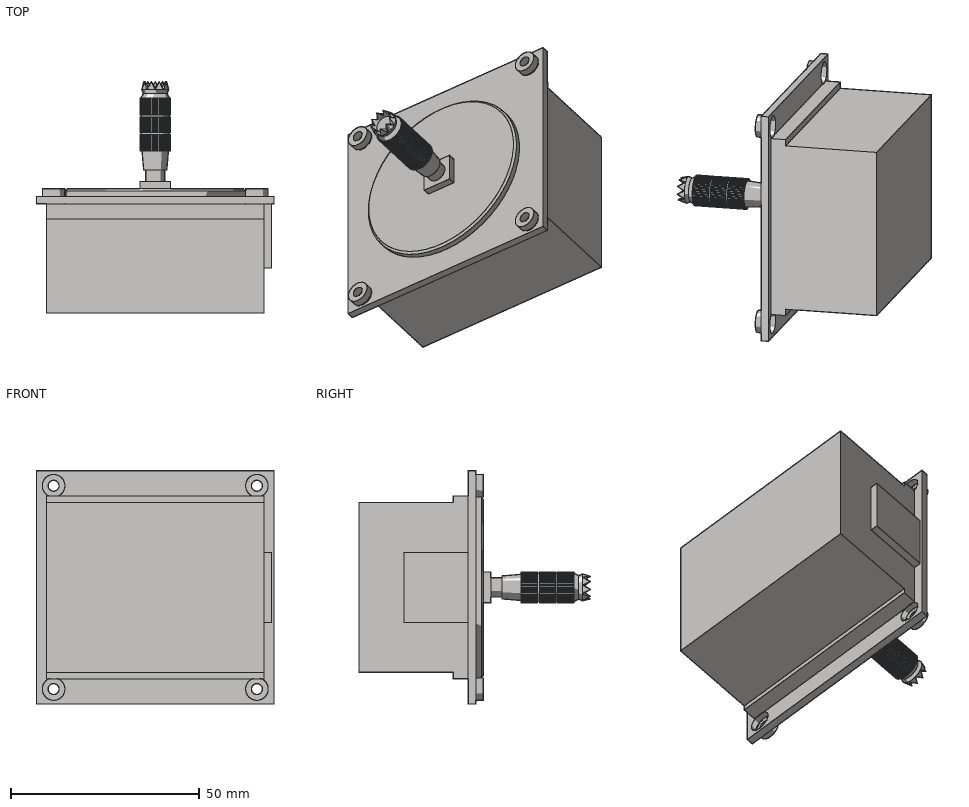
import cadquery as cq
import math


PLATE_WIDTH = 63.1
PLATE_HEIGHT = 62.0
PLATE_THICKNESS = 2.0

SCREW_OFFSET = 27.0
SCREW_HOLE_DIAMETER = 2.85
BOSS_DIAMETER = 6.0
BOSS_HEIGHT = 2.0
COUNTERBORE_DEPTH = 1.7

BOX_WIDTH = 57.8
BOX_HEIGHT = 45.1
BOX_DEPTH = 29.0
LIP_HEIGHT = 48.6
LIP_DEPTH = 4.05

COVER_RADIUS = 24.0
COVER_CHAMFER = 0.55

CONNECTOR_THICKNESS = 2.0
CONNECTOR_HEIGHT = 18.7
CONNECTOR_DEPTH = 17.05

FOOT_SIDE = 8.2
FOOT_HEIGHT = 1.95
SHAFT_RADIUS = 2.6
SHAFT_LENGTH = 2.95

COLLAR_LENGTH = 5.05
COLLAR_BOTTOM_RADIUS = 3.1
COLLAR_TOP_RADIUS = 3.55

GRIP_RADIUS = 4.1
KNURL_LENGTH = 14.1
SHOULDER_LENGTH = 1.25
NECK_RADIUS = 3.15
FLARE_LENGTH = 1.0
FLARE_RADIUS = 3.6
RING_GROOVE_COUNT = 2
RING_GROOVE_WIDTH = 0.5
RING_GROOVE_DEPTH = 0.3
FLUTE_COUNT = 40
FLUTE_WIDTH = 0.3
FLUTE_DEPTH = 0.25

TOOTH_COUNT = 9
TOOTH_LENGTH = 2.15
TOOTH_TIP_RADIUS = 3.1
CROWN_INNER_RADIUS = 2.5

cover_top = BOSS_HEIGHT
foot_top = cover_top + FOOT_HEIGHT
shaft_top = foot_top + SHAFT_LENGTH
collar_top = shaft_top + COLLAR_LENGTH
knurl_top = collar_top + KNURL_LENGTH
neck = knurl_top + SHOULDER_LENGTH
crown_base = neck + FLARE_LENGTH
crown_tip = crown_base + TOOTH_LENGTH


def block(width, height, y_start, y_end):
    """Box centred on the Y axis, from y_start to y_end."""
    depth = y_end - y_start
    return cq.Workplane("XY").box(width, depth, height).translate((0, y_start + depth / 2, 0))


def cylinders(points, radius, y_start, y_end):
    """Cylinders along Y at the given (x, z) points."""
    plane = cq.Workplane("XZ", origin=(0, y_start, 0))
    return plane.pushPoints(points).circle(radius).extrude(y_start - y_end)


def turned(profile):
    """Solid of revolution about the Y axis of a closed (radius, y) profile."""
    return cq.Workplane("XY").polyline(profile).close().revolve(360, (0, 0, 0), (0, 1, 0))


def make_housing():
    screw_points = [(sx * SCREW_OFFSET, sz * SCREW_OFFSET) for sx in (-1, 1) for sz in (-1, 1)]
    plate_front = -PLATE_THICKNESS
    counterbore_floor = plate_front + COUNTERBORE_DEPTH

    plate = block(PLATE_WIDTH, PLATE_HEIGHT, plate_front, 0)
    bosses = cylinders(screw_points, BOSS_DIAMETER / 2, 0, BOSS_HEIGHT)
    screw_holes = cylinders(screw_points, SCREW_HOLE_DIAMETER / 2, plate_front, BOSS_HEIGHT)
    counterbores = cylinders(screw_points, BOSS_DIAMETER / 2, plate_front, counterbore_floor)
    plate = plate.union(bosses).cut(screw_holes).cut(counterbores)

    lip = block(BOX_WIDTH, LIP_HEIGHT, plate_front - LIP_DEPTH, plate_front)
    box = block(BOX_WIDTH, BOX_HEIGHT, plate_front - BOX_DEPTH, plate_front)

    cover = cylinders([(0, 0)], COVER_RADIUS, 0, cover_top).faces(">Y").chamfer(COVER_CHAMFER)
    return plate.union(lip).union(box).union(cover)


def make_connector():
    connector = block(
        CONNECTOR_THICKNESS, CONNECTOR_HEIGHT, -PLATE_THICKNESS - CONNECTOR_DEPTH, -PLATE_THICKNESS
    )
    return connector.translate((BOX_WIDTH / 2 + CONNECTOR_THICKNESS / 2, 0, 0))


def make_stick():
    foot = block(FOOT_SIDE, FOOT_SIDE, cover_top, foot_top)
    shaft = cylinders([(0, 0)], SHAFT_RADIUS, foot_top, shaft_top)
    return foot.union(shaft)


def make_collar():
    return turned([
        (0, shaft_top),
        (COLLAR_BOTTOM_RADIUS, shaft_top),
        (COLLAR_TOP_RADIUS, collar_top),
        (0, collar_top),
    ])


def make_ring_grooves():
    """Rings that divide the knurled length into equal bands."""
    core_radius = GRIP_RADIUS - RING_GROOVE_DEPTH
    band = KNURL_LENGTH / (RING_GROOVE_COUNT + 1)
    grooves = cq.Workplane("XY")
    for index in range(RING_GROOVE_COUNT):
        middle = collar_top + band * (index + 1)
        low = middle - RING_GROOVE_WIDTH / 2
        high = middle + RING_GROOVE_WIDTH / 2
        outside = GRIP_RADIUS + RING_GROOVE_DEPTH
        grooves = grooves.add(turned([
            (core_radius, low),
            (outside, low),
            (outside, high),
            (core_radius, high),
        ]))
    return grooves.combine()


def fluted_cylinder():
    """Cylinder with V flutes along Y; one flute faces -X."""
    pitch = 2 * math.pi / FLUTE_COUNT
    half_flute = FLUTE_WIDTH / 2 / GRIP_RADIUS

    def polar_point(radius, angle):
        return (radius * math.cos(angle), radius * math.sin(angle))

    outline = cq.Workplane("XZ", origin=(0, collar_top, 0))
    outline = outline.moveTo(*polar_point(GRIP_RADIUS, half_flute))
    for index in range(FLUTE_COUNT):
        flute = (index + 1) * pitch
        rib = flute - pitch / 2
        outline = outline.threePointArc(
            polar_point(GRIP_RADIUS, rib), polar_point(GRIP_RADIUS, flute - half_flute)
        )
        outline = outline.lineTo(*polar_point(GRIP_RADIUS - FLUTE_DEPTH, flute))
        outline = outline.lineTo(*polar_point(GRIP_RADIUS, flute + half_flute))
    return outline.close().extrude(-KNURL_LENGTH)


def pyramid(corners, apex):
    """Solid with a triangular base and one apex."""
    a, b, c = corners
    faces = [
        cq.Face.makeFromWires(cq.Wire.makePolygon([*triangle], close=True))
        for triangle in ((a, b, c), (a, b, apex), (b, c, apex), (c, a, apex))
    ]
    return cq.Solid.makeSolid(cq.Shell.makeShell(faces))


def make_crown():
    """Ring with a conical bore, notched into pointed teeth; one tooth faces -Z."""
    crown = turned([
        (0, crown_base),
        (FLARE_RADIUS, crown_base),
        (TOOTH_TIP_RADIUS, crown_tip),
        (CROWN_INNER_RADIUS, crown_base),
    ])
    tooth_angle = 360 / TOOTH_COUNT
    notch_half_width = FLARE_RADIUS * math.tan(math.radians(tooth_angle / 2))
    mouth = [(0, crown_base), (notch_half_width, crown_tip), (-notch_half_width, crown_tip)]
    corners = [cq.Vector(x, y, FLARE_RADIUS) for x, y in mouth]
    notch = cq.Workplane(pyramid(corners, cq.Vector(0, crown_tip, 0)))
    for index in range(TOOTH_COUNT):
        crown = crown.cut(notch.rotate((0, 0, 0), (0, 1, 0), index * tooth_angle))
    return crown


def make_grip():
    head = turned([
        (0, knurl_top),
        (GRIP_RADIUS - FLUTE_DEPTH, knurl_top),
        (NECK_RADIUS, neck),
        (FLARE_RADIUS, crown_base),
        (0, crown_base),
    ])
    return fluted_cylinder().cut(make_ring_grooves()).union(head).union(make_crown())


housing = make_housing()
connector = make_connector()
stick = make_stick()
collar = make_collar()
grip = make_grip()

result = cq.Compound.makeCompound([
    housing.val(),
    connector.val(),
    stick.val(),
    collar.val(),
    grip.val(),
])